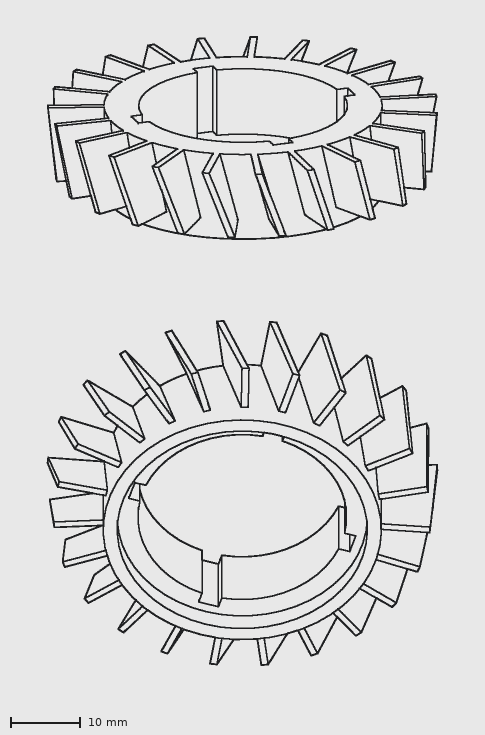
import cadquery as cq

ring_diameter = 40.0
bore_diameter = 30.05
ring_height = 13.0

recess_diameter = 36.0
collar_height = 3.0

keyway_count = 4
keyway_width = 3.0
keyway_reach = 16.6

blade_count = 23
blade_thickness = 1.0
blade_root_radius = 19.0
blade_top_diameter = 56.2
blade_bottom_diameter = 54.2
blade_twist = 7.5

ORIGIN = cq.Vector(0, 0, 0)
UP = cq.Vector(0, 0, 1)


def make_ring():
    """Plain ring with its bore and the wider recess at the bottom."""
    ring = cq.Workplane("XY").circle(ring_diameter / 2).circle(bore_diameter / 2).extrude(ring_height)
    recess = cq.Workplane("XY").circle(recess_diameter / 2).extrude(collar_height)
    return ring.cut(recess)


def make_keyway_cutter():
    """Radial bar that cuts one keyway through the full height of the ring."""
    bar = cq.Workplane("XY").rect(keyway_reach, keyway_width).extrude(ring_height)
    return bar.translate((keyway_reach / 2, 0, 0))


def blade_section(tip_radius, height, angle):
    """Thin radial rectangle from the blade root to its tip, turned about the ring axis."""
    half_thickness = blade_thickness / 2
    corners = [
        cq.Vector(blade_root_radius, -half_thickness, height),
        cq.Vector(tip_radius, -half_thickness, height),
        cq.Vector(tip_radius, half_thickness, height),
        cq.Vector(blade_root_radius, half_thickness, height),
    ]
    return cq.Wire.makePolygon(corners, close=True).rotate(ORIGIN, UP, angle)


def make_blade():
    """Blade whose straight edges join a turned, shorter bottom section to the top section."""
    bottom = blade_section(blade_bottom_diameter / 2, collar_height, blade_twist)
    top = blade_section(blade_top_diameter / 2, ring_height, 0)
    return cq.Workplane(cq.Solid.makeLoft([bottom, top], True))


result = make_ring()

keyway_cutter = make_keyway_cutter()
for index in range(keyway_count):
    result = result.cut(keyway_cutter.rotate(ORIGIN, UP, index * 360 / keyway_count))

blade = make_blade()
for index in range(blade_count):
    result = result.union(blade.rotate(ORIGIN, UP, index * 360 / blade_count))